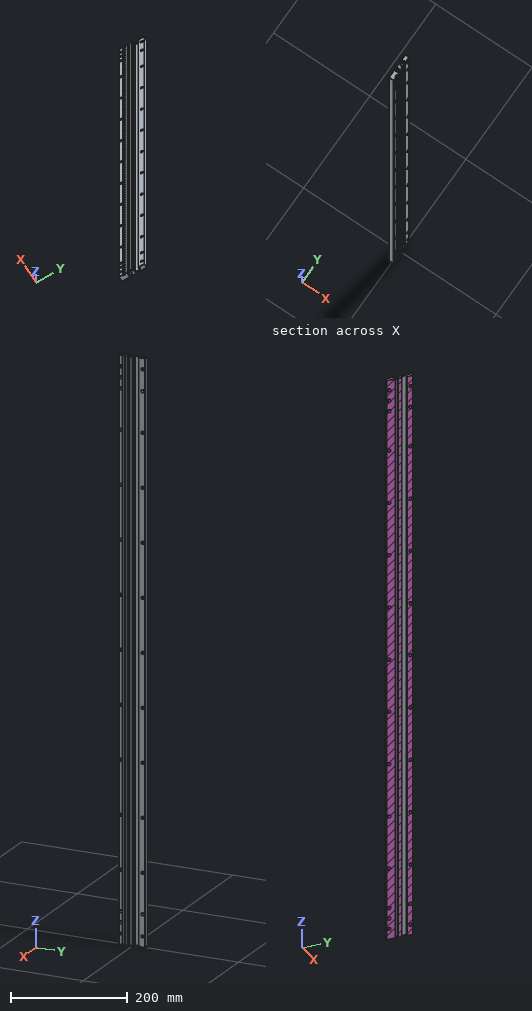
import cadquery as cq

length = 1071.0
width = 50.0
thickness = 10.3

step_height = 2.0
step_y = 1.0

thick_bevel = 1.5
thin_bevel = 0.5

step_groove_low_y = 4.1
step_groove_high_y = 13.0
step_groove_depth = 4.8
step_undercut = 1.0
step_undercut_depth = 2.9

t_slot_centre_y = -5.6
t_slot_mouth = 5.0
t_slot_depth = 7.3
t_slot_undercut = 0.5
t_slot_lip = 3.3

shallow_groove_low_y = -17.2
shallow_groove_high_y = -13.2
shallow_groove_depth = 1.8

hole_row_y = 20.0
hole_pitch = 100.0
pitched_holes_each_way = 4
screw_diameter = 4.5
pin_diameter = 5.0
end_to_screw = 20.0
end_to_single_pin = 40.0
end_to_pin_pair = 60.0

back_x = -thickness / 2
thick_face_x = thickness / 2
thin_face_x = thick_face_x - step_height
low_y = -width / 2
high_y = width / 2


def rail_body():
    """Stepped rail section with its grooves, extruded over the full length."""
    shallow_floor_x = thick_face_x - shallow_groove_depth
    t_lip_x = thick_face_x - t_slot_lip
    t_floor_x = thick_face_x - t_slot_depth
    t_mouth_low_y = t_slot_centre_y - t_slot_mouth / 2
    t_mouth_high_y = t_slot_centre_y + t_slot_mouth / 2
    step_floor_x = thin_face_x - step_groove_depth
    step_undercut_x = thin_face_x - step_undercut_depth
    outline = [
        (back_x, low_y),
        (thick_face_x - thick_bevel, low_y),
        (thick_face_x, low_y + thick_bevel),
        (thick_face_x, shallow_groove_low_y),
        (shallow_floor_x, shallow_groove_low_y),
        (shallow_floor_x, shallow_groove_high_y),
        (thick_face_x, shallow_groove_high_y),
        (thick_face_x, t_mouth_low_y),
        (t_lip_x, t_mouth_low_y),
        (t_lip_x, t_mouth_low_y - t_slot_undercut),
        (t_floor_x, t_mouth_low_y - t_slot_undercut),
        (t_floor_x, t_mouth_high_y + t_slot_undercut),
        (t_lip_x, t_mouth_high_y + t_slot_undercut),
        (t_lip_x, t_mouth_high_y),
        (thick_face_x, t_mouth_high_y),
        (thick_face_x, step_y),
        (thin_face_x, step_y),
        (thin_face_x, step_groove_low_y),
        (step_floor_x, step_groove_low_y),
        (step_floor_x, step_groove_high_y + step_undercut),
        (step_undercut_x, step_groove_high_y + step_undercut),
        (step_undercut_x, step_groove_high_y),
        (thin_face_x, step_groove_high_y),
        (thin_face_x, high_y - thin_bevel),
        (thin_face_x - thin_bevel, high_y),
        (back_x, high_y),
    ]
    base = cq.Workplane("XY").workplane(offset=-length / 2)
    return base.polyline(outline).close().extrude(length)


def cross_holes(places, diameter):
    """Cylinders along X at the (y, z) places, long enough to cut through the rail."""
    back = cq.Workplane("YZ").workplane(offset=back_x)
    return back.pushPoints(places).circle(diameter / 2).extrude(thickness)


def both_ends(end_distance):
    """Z positions at the same distance from each end of the rail."""
    z = length / 2 - end_distance
    return [-z, z]


pitch_steps = range(-pitched_holes_each_way, pitched_holes_each_way + 1)
screw_z = [step * hole_pitch for step in pitch_steps] + both_ends(end_to_screw)
hole_rows = (-hole_row_y, hole_row_y)

screw_places = [(y, z) for y in hole_rows for z in screw_z]
pin_places = [(y, z) for y in hole_rows for z in both_ends(end_to_pin_pair)]
pin_places += [(-hole_row_y, z) for z in both_ends(end_to_single_pin)]

result = rail_body()
result = result.cut(cross_holes(screw_places, screw_diameter))
result = result.cut(cross_holes(pin_places, pin_diameter))